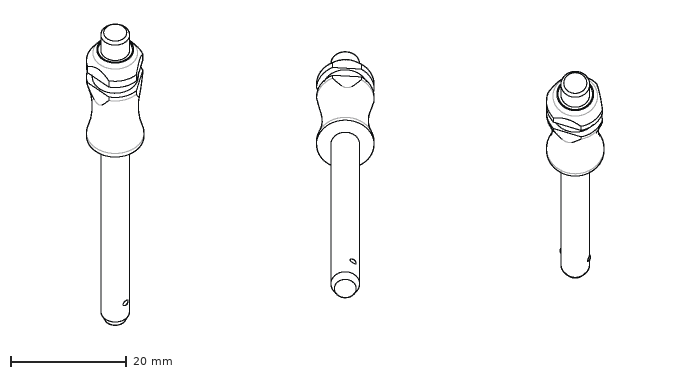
import cadquery as cq
import math

shank_length = 46.0
handle_height = 26.2
button_height = 4.3

shank_radius = 2.5
tip_length = 1.5
tip_radius = 1.9
ball_radius = 0.75
ball_offset = 2.0
ball_height_above_tip = 5.5

handle_radius = 5.0
waist_radius = 4.0
rim_height = 0.9
grip_height = 15.1
groove_width = 2.5
collar_rim_height = 1.6
collar_shoulder_height = 0.8
collar_shoulder_radius = 3.87
collar_top_radius = 3.2
recess_radius = 3.0
recess_depth = 0.1

button_radius = 2.5
button_chamfer = 0.5

flat_count = 3
first_flat_angle = -90.0
flat_arc_angle = 60.0
flat_distance = handle_radius * math.cos(math.radians(flat_arc_angle / 2))

waist_height = grip_height / 2
flare_depth = handle_radius - waist_radius
flare_height = waist_height - rim_height
grip_arc_radius = (flare_height**2 + flare_depth**2) / (2 * flare_depth)

collar_base = grip_height + groove_width
collar_top = handle_height - button_height


def make_shank():
    """Round shank with a tapered lower tip."""
    return (
        cq.Workplane("XZ")
        .moveTo(0, 0)
        .lineTo(shank_radius, 0)
        .lineTo(shank_radius, tip_length - shank_length)
        .lineTo(tip_radius, -shank_length)
        .lineTo(0, -shank_length)
        .close()
        .revolve(360, (0, 0), (0, 1))
    )


def make_ball(side):
    """Locking ball standing slightly proud of the shank; side is -1 or +1."""
    ball_height = ball_height_above_tip - shank_length
    return cq.Workplane("XY").sphere(ball_radius).translate((side * ball_offset, 0, ball_height))


def make_handle():
    """Turned handle: waisted grip, groove and conical collar with a shallow top recess."""
    upper_rim = grip_height - rim_height
    return (
        cq.Workplane("XZ")
        .moveTo(0, 0)
        .lineTo(handle_radius, 0)
        .lineTo(handle_radius, rim_height)
        .radiusArc((waist_radius, waist_height), grip_arc_radius)
        .radiusArc((handle_radius, upper_rim), grip_arc_radius)
        .lineTo(handle_radius, grip_height)
        .lineTo(waist_radius, grip_height)
        .lineTo(waist_radius, collar_base)
        .lineTo(handle_radius, collar_base)
        .lineTo(handle_radius, collar_base + collar_rim_height)
        .lineTo(collar_shoulder_radius, collar_top - collar_shoulder_height)
        .lineTo(collar_top_radius, collar_top)
        .lineTo(recess_radius, collar_top)
        .lineTo(recess_radius, collar_top - recess_depth)
        .lineTo(0, collar_top - recess_depth)
        .close()
        .revolve(360, (0, 0), (0, 1))
    )


def cut_flats(handle):
    """Cut the equally spaced vertical flats into collar and grip above the waist."""
    cutter_size = 2 * handle_radius
    cutter = (
        cq.Workplane("XY")
        .box(cutter_size, cutter_size, handle_height, centered=(False, True, False))
        .translate((flat_distance, 0, waist_height))
    )
    for index in range(flat_count):
        angle = first_flat_angle + index * 360 / flat_count
        handle = handle.cut(cutter.rotate((0, 0, 0), (0, 0, 1), angle))
    return handle


def make_button():
    """Chamfered release button, rising from the recess in the collar."""
    return (
        cq.Workplane("XY", origin=(0, 0, collar_top - recess_depth))
        .circle(button_radius)
        .extrude(button_height + recess_depth)
        .faces(">Z")
        .chamfer(button_chamfer)
    )


result = cut_flats(make_handle())
result = result.union(make_button()).union(make_shank())
for side in (-1, 1):
    result = result.union(make_ball(side))